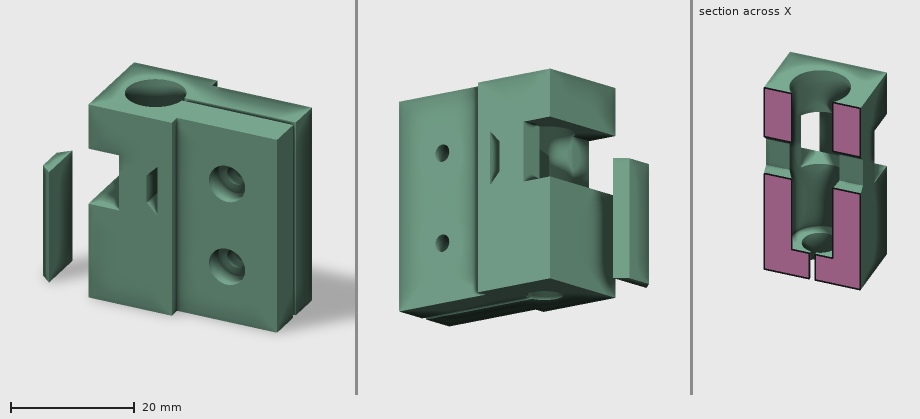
import cadquery as cq

overall_length = 43.05
block_length = 33.0
head_length = 15.02
head_width = 16.88
arm_width = 12.9
height = 35.0
head_face_to_bore = 8.0
head_x = -head_face_to_bore
end_x = head_x + block_length

bore_diameter = 10.0
through_diameter = 6.0
bore_floor_z = 5.0
slit_width = 1.0

notch_depth = 5.5
notch_height = 10.0
notch_center_z = 22.0

groove_x = head_x + 10.5
groove_depth = 2.0
groove_narrow = 5.0
groove_wide = groove_narrow + 2 * groove_depth

screw_x = head_x + 24.02
lower_screw_z = 10.0
screw_spacing = 15.02
counterbore_diameter = 6.5
counterbore_depth = 3.5
clearance_diameter = 3.4
thread_diameter = 2.9

wedge_gap = 8.05
wedge_thickness = overall_length - block_length - wedge_gap
wedge_narrow = 5.0
wedge_wide = 8.7
wedge_height = 20.0
wedge_center_y = (wedge_wide - arm_width) / 2
wedge_x = head_x - wedge_gap - wedge_thickness


def box_between(x0, x1, width, z0, z1):
    """Box centred on y = 0."""
    size = (x1 - x0, width, z1 - z0)
    return cq.Workplane("XY").box(*size, centered=(False, True, False)).translate((x0, 0, z0))


def trapezoid(plane, start, center, thickness, narrow, wide):
    """Symmetric trapezoid that widens toward +X."""
    return (
        cq.Workplane(plane)
        .moveTo(start, center - narrow / 2)
        .lineTo(start + thickness, center - wide / 2)
        .lineTo(start + thickness, center + wide / 2)
        .lineTo(start, center + narrow / 2)
        .close()
    )


def bore_cutter():
    through = cq.Workplane("XY").circle(through_diameter / 2).extrude(height)
    wide = (
        cq.Workplane("XY", origin=(0, 0, bore_floor_z))
        .circle(bore_diameter / 2)
        .extrude(height - bore_floor_z)
    )
    return through.union(wide)


def y_cylinder(diameter, y0, y1, z):
    """Cylinder along +Y on a screw axis."""
    axis = cq.Vector(0, 1, 0)
    solid = cq.Solid.makeCylinder(diameter / 2, y1 - y0, cq.Vector(screw_x, y0, z), axis)
    return cq.Workplane(solid)


def screw_cutter(z):
    """Counterbore and clearance hole in the -Y arm, thread hole in the +Y arm."""
    outer_y = arm_width / 2
    counterbore = y_cylinder(counterbore_diameter, -outer_y, -outer_y + counterbore_depth, z)
    clearance = y_cylinder(clearance_diameter, -outer_y, 0, z)
    thread = y_cylinder(thread_diameter, 0, outer_y, z)
    return counterbore.union(clearance).union(thread)


def make_clamp():
    head = box_between(head_x, head_x + head_length, head_width, 0, height)
    arms = box_between(head_x, end_x, arm_width, 0, height)
    slit = box_between(0, end_x, slit_width, 0, height)
    notch_z = notch_center_z - notch_height / 2
    notch = box_between(head_x, head_x + notch_depth, head_width, notch_z, notch_z + notch_height)
    groove = trapezoid(
        "XZ", groove_x, notch_center_z, groove_depth, groove_narrow, groove_wide
    ).extrude(head_width / 2, both=True)

    clamp = head.union(arms).cut(bore_cutter()).cut(slit).cut(notch).cut(groove)
    for z in (lower_screw_z, lower_screw_z + screw_spacing):
        clamp = clamp.cut(screw_cutter(z))
    return clamp


def make_wedge():
    profile = trapezoid("XY", wedge_x, wedge_center_y, wedge_thickness, wedge_narrow, wedge_wide)
    return profile.extrude(wedge_height)


clamp = make_clamp()
wedge = make_wedge()
result = cq.Compound.makeCompound([clamp.val(), wedge.val()])